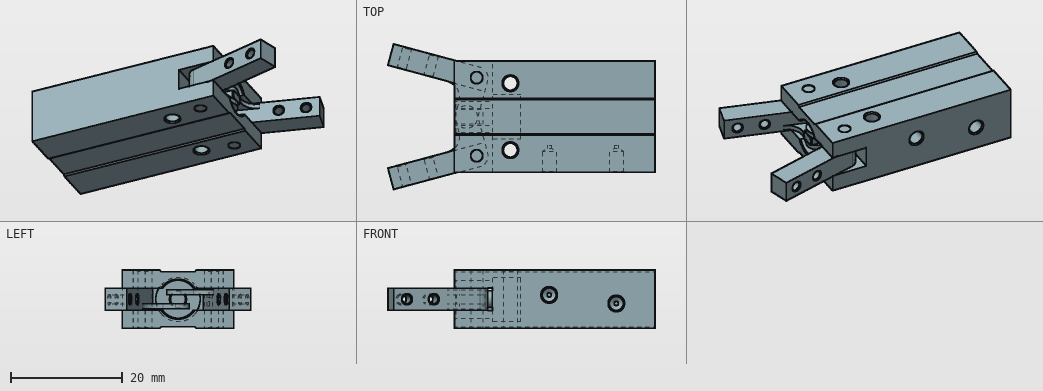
import cadquery as cq
import math


finger_width = 4.0
finger_thickness = 4.0
finger_reach = 15.97
opening_angle = 15.0
half_width = finger_width / 2
screw_hole_radius = 0.8
screw_chamfer = 0.2
screw_hole_reaches = (8.5, 13.5)

pivot_setback = 4.0
pivot_offset = 7.0
pin_radius = 1.05
pin_hole_radius = 1.1
pin_recess = 0.1

arm_inner_level = 0.8
arm_outer_level = 1.75
arm_end_reach = 7.3
arm_fillet = 2.97

overall_length = 47.95
angle = math.radians(opening_angle)
finger_overhang = finger_reach * math.cos(angle) + half_width * math.sin(angle) - pivot_setback
housing_length = overall_length - finger_overhang
housing_width = 20.0
housing_height = 10.5
slot_depth = 6.8
front_bore_radius = 3.4
front_bore_chamfer = 0.2

channel_width = 6.6
channel_depth = 0.3

hole_radius = 1.25
hole_chamfer = 0.25
mounting_hole_setback = 10.03
mounting_hole_offset = 6.0
port_places = ((17.0, 0.75), (29.0, -0.75))
port_depth = 3.85
port_tip_angle = 118.0
port_pilot_radius = 0.4
port_pilot_depth = 0.5

rod_radius = 1.55
rod_chamfer = 0.2
rod_setback = 0.1
tang_end = 5.05
head_radius = 4.0
head_length = 5.0


def x_cylinder(radius, start, end):
    return cq.Workplane("YZ", origin=(start, 0, 0)).circle(radius).extrude(end - start)


def channel_cutter():
    """Trapezoidal channel with 45 degree sides, cut into the top face."""
    top = housing_height / 2
    outer = channel_width / 2
    inner = outer - channel_depth
    floor = top - channel_depth
    profile = [(-outer, top), (-inner, floor), (inner, floor), (outer, top)]
    return cq.Workplane("YZ").polyline(profile).close().extrude(housing_length)


def front_bore_cutter():
    mouth_radius = front_bore_radius + front_bore_chamfer
    profile = [
        (0, 0),
        (0, mouth_radius),
        (front_bore_chamfer, front_bore_radius),
        (slot_depth, front_bore_radius),
        (slot_depth, 0),
    ]
    return cq.Workplane("XY").polyline(profile).close().revolve(360, (0, 0, 0), (1, 0, 0))


def mounting_hole_cutter():
    """Through hole along Z, chamfered at both faces."""
    half_height = housing_height / 2
    mouth_radius = hole_radius + hole_chamfer
    profile = [
        (0, -half_height),
        (mouth_radius, -half_height),
        (hole_radius, hole_chamfer - half_height),
        (hole_radius, half_height - hole_chamfer),
        (mouth_radius, half_height),
        (0, half_height),
    ]
    return cq.Workplane("XZ").polyline(profile).close().revolve(360, (0, 0, 0), (0, 1, 0))


def port_cutter():
    """Chamfered blind hole along +Y from Y = 0, with a conical bottom and a small pilot."""
    cone_length = (hole_radius - port_pilot_radius) / math.tan(math.radians(port_tip_angle / 2))
    pilot_start = port_depth + cone_length
    pilot_end = pilot_start + port_pilot_depth
    profile = [
        (0, 0),
        (hole_radius + hole_chamfer, 0),
        (hole_radius, hole_chamfer),
        (hole_radius, port_depth),
        (port_pilot_radius, pilot_start),
        (port_pilot_radius, pilot_end),
        (0, pilot_end),
    ]
    return cq.Workplane("XY").polyline(profile).close().revolve(360, (0, 0, 0), (0, 1, 0))


def make_housing():
    body = cq.Workplane("XY").box(
        housing_length, housing_width, housing_height, centered=(False, True, True)
    )
    channel = channel_cutter()
    body = body.cut(channel).cut(channel.mirror("XY"))

    slot = cq.Workplane("XY").box(
        slot_depth, housing_width, finger_thickness, centered=(False, True, True)
    )
    body = body.cut(slot).cut(front_bore_cutter())
    body = body.cut(x_cylinder(head_radius, slot_depth, slot_depth + head_length))

    for side in (-1, 1):
        pivot_hole = (
            cq.Workplane("XY")
            .center(pivot_setback, side * pivot_offset)
            .circle(pin_hole_radius)
            .extrude(housing_height / 2, both=True)
        )
        mounting_place = (mounting_hole_setback, side * mounting_hole_offset, 0)
        body = body.cut(pivot_hole).cut(mounting_hole_cutter().translate(mounting_place))

    for setback, height in port_places:
        body = body.cut(port_cutter().translate((setback, -housing_width / 2, height)))
    return body


def make_rod():
    rod = x_cylinder(rod_radius, rod_setback, slot_depth).faces("<X").chamfer(rod_chamfer)
    tang_length = tang_end - rod_setback
    flat_height = rod_radius - arm_inner_level
    for side in (-1, 1):
        flat = cq.Workplane("XY").box(
            tang_length, 2 * rod_radius, flat_height, centered=(False, True, True)
        )
        flat_middle = side * (arm_inner_level + flat_height / 2)
        rod = rod.cut(flat.translate((rod_setback, 0, flat_middle)))
    return rod.union(x_cylinder(head_radius, slot_depth, slot_depth + head_length))


def screw_hole_cutter():
    """Through hole across the finger along Y, chamfered at both sides."""
    mouth_radius = screw_hole_radius + screw_chamfer
    profile = [
        (0, -half_width),
        (mouth_radius, -half_width),
        (screw_hole_radius, screw_chamfer - half_width),
        (screw_hole_radius, half_width - screw_chamfer),
        (mouth_radius, half_width),
        (0, half_width),
    ]
    return cq.Workplane("XY").polyline(profile).close().revolve(360, (0, 0, 0), (0, 1, 0))


def make_arm():
    """Lever arm toward -Y, as wide as the finger, with a concave fillet to the finger and a rounded end."""
    fillet_x = -half_width - arm_fillet
    fillet_y = -half_width - arm_fillet
    fillet_shift = arm_fillet * math.sqrt(0.5)
    return (
        cq.Workplane("XY", origin=(0, 0, -arm_outer_level))
        .moveTo(half_width, 0)
        .lineTo(half_width, -arm_end_reach)
        .threePointArc((0, -arm_end_reach - half_width), (-half_width, -arm_end_reach))
        .lineTo(-half_width, fillet_y)
        .threePointArc((fillet_x + fillet_shift, fillet_y + fillet_shift), (fillet_x, -half_width))
        .lineTo(fillet_x, 0)
        .close()
        .extrude(arm_outer_level - arm_inner_level)
    )


def make_finger():
    """Finger on the +Y side; built along -X about its pivot, then swung open."""
    half_thickness = finger_thickness / 2
    bar = (
        cq.Workplane("XY")
        .moveTo(-finger_reach, -half_width)
        .lineTo(half_width, -half_width)
        .lineTo(half_width, 0)
        .threePointArc((half_width * math.sqrt(0.5), half_width * math.sqrt(0.5)), (0, half_width))
        .lineTo(-finger_reach, half_width)
        .close()
        .extrude(half_thickness, both=True)
    )
    pin = cq.Workplane("XY").circle(pin_radius).extrude(housing_height / 2 - pin_recess, both=True)
    finger = bar.union(make_arm()).union(pin)
    for reach in screw_hole_reaches:
        finger = finger.cut(screw_hole_cutter().translate((-reach, 0, 0)))
    swung = finger.rotate((0, 0, 0), (0, 0, 1), -opening_angle)
    return swung.translate((pivot_setback, pivot_offset, 0))


housing = make_housing()
rod = make_rod()
fingers = [make_finger().rotate((0, 0, 0), (1, 0, 0), turn) for turn in (0, 180)]

result = cq.Compound.makeCompound([housing.val(), rod.val(), *[finger.val() for finger in fingers]])